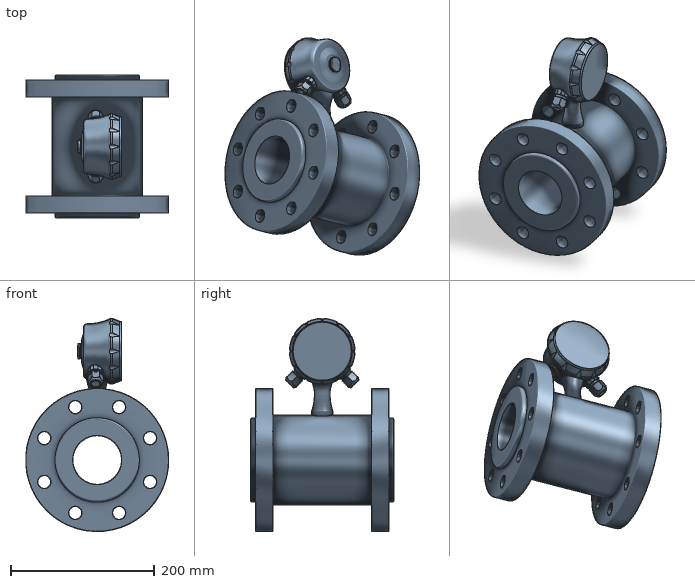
import cadquery as cq
import math

TUBE_LENGTH = 200.0
TUBE_DIA = 126.0
BORE_DIA = 68.0
FLANGE_DIA = 200.0
FLANGE_THICKNESS = 24.0
FLANGE_EDGE_ROUND = 1.0
RAISED_FACE_DIA = 118.0
RAISED_FACE_HEIGHT = 7.0
RAISED_FACE_ROUND = 2.7
TUBE_END_ROUND = 1.0
BOLT_COUNT = 8
BOLT_CIRCLE_DIA = 160.0
BOLT_HOLE_DIA = 18.0

HEAD_HEIGHT = 152.0
BODY_REAR_X = -19.1
BODY_REAR_RADIUS = 33.4
BODY_SHOULDER_X = -13.8
BODY_SHOULDER_RADIUS = 38.4
BODY_MID_X = 0.7
BODY_MID_RADIUS = 39.8
LID_REAR_X = 15.2
LID_REAR_RADIUS = 44.1
LID_CREST_START_X = 18.4
LID_CREST_END_X = 21.6
LID_CREST_RADIUS = 45.9
LID_RIM_X = 31.5
LID_RIM_RADIUS = 83.7 / 2
LID_FACE_X = 34.2
LID_FACE_RADIUS = 81.2 / 2
CONE_BASE_RADIUS = 25.0
CONE_TOP_RADIUS = 15.4
CONE_TOP_X = -22.0

PLUG_SEAT_RADIUS = 12.3
PLUG_NECK_RADIUS = 10.0
PLUG_RADIUS = 21.0 / 2
PLUG_FACE_RADIUS = 10.2
PLUG_NECK_X = -22.6
PLUG_BACK_X = -23.4
PLUG_FACE_X = -27.0
PLUG_CHAMFER = 0.5
PLUG_APEX_RISE = 0.8
PLUG_FLAT_WIDTH = 17.0
PLUG_FLAT_DEPTH = 2.3

NOTCH_COUNT = 12
NOTCH_FLOOR_ANGLE = 12.4
NOTCH_HALF_ANGLE = 21.0
NOTCH_CONE_LENGTH = 20.0
NOTCH_TIP_LIFT = 0.1

NECK_BASE_RADIUS = 15.0
NECK_BASE_TOP = 66.4
NECK_SHOULDER = (14.4, 69.2)
NECK_TAPER = (13.2, 73.8)
NECK_WAIST_RADIUS = 22.0 / 2
NECK_WAIST_BOTTOM = 90.3
NECK_WAIST_TOP = 94.0
NECK_FLARE = (12.2, 102.2)
NECK_HEAD_RADIUS = 15.2
NECK_HEAD_BOTTOM = 114.5

GLAND_X = -2.0
GLAND_TILT = 135.0
SOCKET_SIDES = 12
SOCKET_FLAT_WIDTH = 21.0
SOCKET_START = 30.0
SOCKET_END = 45.4
COLLAR_DIA = 16.69
NUT_SIDES = 6
NUT_FLAT_WIDTH = 19.0
NUT_START = 49.0
NUT_END = 64.3
NUT_FACE_DIA = 16.0
NUT_CHAMFER_ANGLE = 30.0
CABLE_HOLE_DIA = 12.0


def disc(diameter, start_y, length):
    """Cylinder on the Y axis that grows from start_y toward +Y."""
    return cq.Workplane("XZ", origin=(0, start_y, 0)).circle(diameter / 2).extrude(-length)


def make_tube_end_fillet(flange_y):
    """Ring that ends at flange_y and widens from the tube to the flange along a hollow quarter round."""
    tube_radius = TUBE_DIA / 2
    start_y = flange_y - TUBE_END_ROUND
    sag = TUBE_END_ROUND * math.sqrt(0.5)
    return (
        cq.Workplane("XY")
        .moveTo(0, start_y)
        .lineTo(tube_radius, start_y)
        .threePointArc(
            (tube_radius + TUBE_END_ROUND - sag, start_y + sag), (tube_radius + TUBE_END_ROUND, flange_y)
        )
        .lineTo(0, flange_y)
        .close()
        .revolve(360, (0, 0), (0, 1))
    )


def make_flange():
    """Flange at the +Y end with its raised face and bolt holes, without the bore."""
    outer_y = TUBE_LENGTH / 2 - RAISED_FACE_HEIGHT
    inner_y = outer_y - FLANGE_THICKNESS
    plate = disc(FLANGE_DIA, inner_y, FLANGE_THICKNESS).edges().fillet(FLANGE_EDGE_ROUND)
    face = disc(RAISED_FACE_DIA, outer_y, RAISED_FACE_HEIGHT).faces(">Y").edges().fillet(RAISED_FACE_ROUND)
    bolt_holes = (
        cq.Workplane("XZ", origin=(0, inner_y, 0))
        .polarArray(BOLT_CIRCLE_DIA / 2, 180 / BOLT_COUNT, 360, BOLT_COUNT)
        .circle(BOLT_HOLE_DIA / 2)
        .extrude(-FLANGE_THICKNESS)
    )
    return plate.cut(bolt_holes).union(face).union(make_tube_end_fillet(inner_y))


def make_tube():
    flange = make_flange()
    barrel_length = TUBE_LENGTH - 2 * (RAISED_FACE_HEIGHT + FLANGE_THICKNESS)
    barrel = disc(TUBE_DIA, -barrel_length / 2, barrel_length)
    return barrel.union(flange).union(flange.mirror("XZ"))


def make_head_shell():
    """Turned body, lid and rear plug around the X axis."""
    corner = math.sqrt(0.5)
    round_x = BODY_SHOULDER_X + (BODY_REAR_X - BODY_SHOULDER_X) * corner
    round_radius = BODY_REAR_RADIUS + (BODY_SHOULDER_RADIUS - BODY_REAR_RADIUS) * corner
    lid_edge_x = LID_RIM_X + (LID_FACE_X - LID_RIM_X) * corner
    lid_edge_radius = LID_FACE_RADIUS + (LID_RIM_RADIUS - LID_FACE_RADIUS) * corner
    return (
        cq.Workplane("XZ")
        .moveTo(PLUG_FACE_X - PLUG_APEX_RISE, 0)
        .lineTo(PLUG_FACE_X, PLUG_FACE_RADIUS)
        .lineTo(PLUG_FACE_X + PLUG_CHAMFER, PLUG_RADIUS)
        .lineTo(PLUG_BACK_X, PLUG_RADIUS)
        .lineTo(PLUG_BACK_X, PLUG_NECK_RADIUS)
        .lineTo(PLUG_NECK_X, PLUG_NECK_RADIUS)
        .lineTo(CONE_TOP_X, PLUG_SEAT_RADIUS)
        .lineTo(CONE_TOP_X, CONE_TOP_RADIUS)
        .lineTo(BODY_REAR_X, CONE_BASE_RADIUS)
        .lineTo(BODY_REAR_X, BODY_REAR_RADIUS)
        .threePointArc((round_x, round_radius), (BODY_SHOULDER_X, BODY_SHOULDER_RADIUS))
        .threePointArc((BODY_MID_X, BODY_MID_RADIUS), (LID_REAR_X, LID_REAR_RADIUS))
        .lineTo(LID_CREST_START_X, LID_CREST_RADIUS)
        .lineTo(LID_CREST_END_X, LID_CREST_RADIUS)
        .lineTo(LID_RIM_X, LID_RIM_RADIUS)
        .threePointArc((lid_edge_x, lid_edge_radius), (LID_FACE_X, LID_FACE_RADIUS))
        .lineTo(LID_FACE_X, 0)
        .close()
        .revolve(360, (0, 0), (1, 0))
    )


def make_notch_cutter():
    """Cone with its tip just above the lid rim, tilted to run out through the rear slope of the lid."""
    tilt = math.radians(NOTCH_FLOOR_ANGLE + NOTCH_HALF_ANGLE)
    base_radius = NOTCH_CONE_LENGTH * math.tan(math.radians(NOTCH_HALF_ANGLE))
    axis_plane = cq.Plane(
        origin=(LID_RIM_X, 0, LID_RIM_RADIUS + NOTCH_TIP_LIFT),
        xDir=(-math.cos(tilt), 0, math.sin(tilt)),
        normal=(0, 1, 0),
    )
    return (
        cq.Workplane(axis_plane)
        .lineTo(NOTCH_CONE_LENGTH, base_radius)
        .lineTo(NOTCH_CONE_LENGTH, 0)
        .close()
        .revolve(360, (0, 0), (1, 0))
    )


def make_plug_flats():
    """Two blocks that leave a pair of wrench flats at the end of the plug."""
    width = PLUG_RADIUS
    block = cq.Workplane("XY").box(2 * PLUG_FLAT_DEPTH, width, 2 * PLUG_RADIUS)
    offset = (PLUG_FLAT_WIDTH + width) / 2
    upper = block.translate((PLUG_FACE_X, offset, 0))
    lower = block.translate((PLUG_FACE_X, -offset, 0))
    return upper.union(lower)


def make_head():
    head = make_head_shell().cut(make_plug_flats())
    cutter = make_notch_cutter()
    for index in range(NOTCH_COUNT):
        head = head.cut(cutter.rotate((0, 0, 0), (1, 0, 0), index * 360 / NOTCH_COUNT))
    return head.translate((0, 0, HEAD_HEIGHT))


def make_neck():
    bottom = TUBE_DIA / 2 - NECK_BASE_RADIUS / 2
    top = HEAD_HEIGHT - BODY_REAR_RADIUS
    return (
        cq.Workplane("XZ")
        .moveTo(0, bottom)
        .lineTo(NECK_BASE_RADIUS, bottom)
        .lineTo(NECK_BASE_RADIUS, NECK_BASE_TOP)
        .tangentArcPoint(NECK_SHOULDER, relative=False)
        .lineTo(*NECK_TAPER)
        .tangentArcPoint((NECK_WAIST_RADIUS, NECK_WAIST_BOTTOM), relative=False)
        .lineTo(NECK_WAIST_RADIUS, NECK_WAIST_TOP)
        .tangentArcPoint(NECK_FLARE, relative=False)
        .tangentArcPoint((NECK_HEAD_RADIUS, NECK_HEAD_BOTTOM), relative=False)
        .lineTo(NECK_HEAD_RADIUS, top)
        .lineTo(0, top)
        .close()
        .revolve(360, (0, 0), (0, 1))
    )


def make_nut():
    """Hexagon nut along +Z with its outer corners turned down to a cone."""
    corner_dia = NUT_FLAT_WIDTH / math.cos(math.pi / NUT_SIDES)
    length = NUT_END - NUT_START
    chamfer_length = (corner_dia - NUT_FACE_DIA) / 2 / math.tan(math.radians(NUT_CHAMFER_ANGLE))
    hexagon = cq.Workplane("XY").polygon(NUT_SIDES, corner_dia).extrude(length)
    envelope = (
        cq.Workplane("XZ")
        .lineTo(corner_dia / 2, 0)
        .lineTo(corner_dia / 2, length - chamfer_length)
        .lineTo(NUT_FACE_DIA / 2, length)
        .lineTo(0, length)
        .close()
        .revolve(360, (0, 0), (0, 1))
    )
    hole = cq.Workplane("XY").circle(CABLE_HOLE_DIA / 2).extrude(length)
    return hexagon.intersect(envelope).cut(hole).translate((0, 0, NUT_START))


def make_gland(side):
    """Gland that points outward to the given Y side and downward."""
    half_step = 180 / SOCKET_SIDES
    socket_dia = SOCKET_FLAT_WIDTH / math.cos(math.radians(half_step))
    socket = (
        cq.Workplane("XY", origin=(0, 0, SOCKET_START))
        .polygon(SOCKET_SIDES, socket_dia)
        .extrude(SOCKET_END - SOCKET_START)
        .rotate((0, 0, 0), (0, 0, 1), half_step)
    )
    collar = (
        cq.Workplane("XY", origin=(0, 0, SOCKET_END)).circle(COLLAR_DIA / 2).extrude(NUT_START - SOCKET_END)
    )
    gland = socket.union(collar).union(make_nut())
    tilt = -GLAND_TILT * side
    return gland.rotate((0, 0, 0), (1, 0, 0), tilt).translate((GLAND_X, 0, HEAD_HEIGHT))


solid = make_tube().union(make_neck()).union(make_head())
for gland_side in (1, -1):
    solid = solid.union(make_gland(gland_side))
bore = disc(BORE_DIA, -TUBE_LENGTH / 2, TUBE_LENGTH)
result = solid.cut(bore)